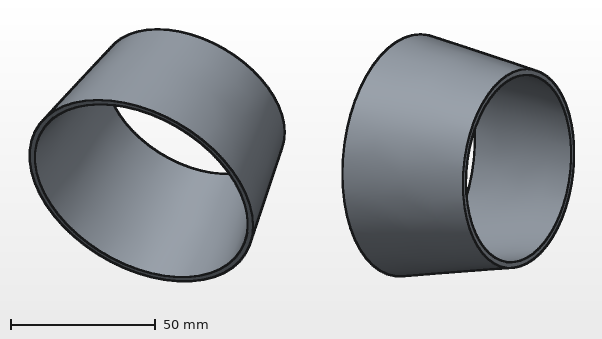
import cadquery as cq

large_diameter = 84.0
small_diameter = 69.0
length = 45.0
wall = 2.0

large_radius = large_diameter / 2
small_radius = small_diameter / 2

wall_section = [
    (large_radius - wall, 0),
    (large_radius, 0),
    (small_radius, length),
    (small_radius - wall, length),
]

result = (
    cq.Workplane("XY")
    .polyline(wall_section)
    .close()
    .revolve(360, (0, 0, 0), (0, 1, 0))
)